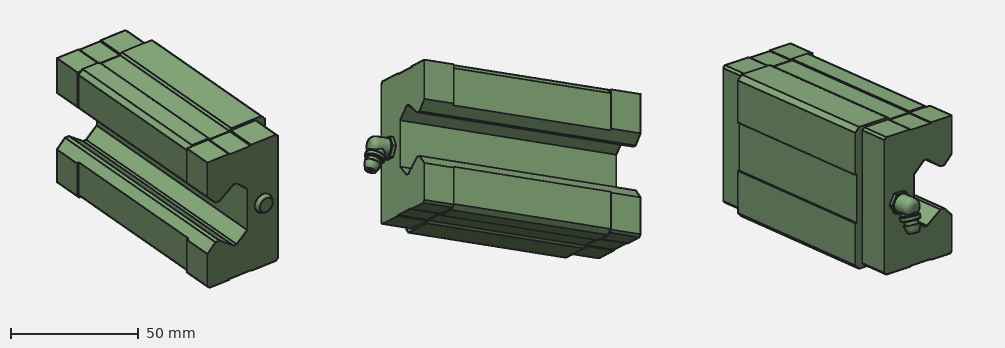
import cadquery as cq
import math


body_length = 70.2
cap_length = 13.2
body_end_x = body_length / 2
cap_face_x = body_end_x + cap_length

body_front = 0.5
body_back = 38.5
body_height = 60.0
body_half_height = body_height / 2
body_chamfer = 2.0
back_recess_depth = 0.7
back_recess_half_height = 10.2
front_land_half_height = 29.6
side_floor_half_height = 29.1
shoulder_y = 21.8
land_y = 10.7

cap_back = 34.8
cap_half_height = 29.1
cap_chamfer = 1.0
cap_groove_depth = 0.3

channel_floor_y = 19.5
channel_floor_half = 9.4
flank_outer_half = 14.0
flank_back_y = 14.4
flank_front_y = 12.8
lip_half = 9.1
lip_back_y = 5.9
lip_front_y = 4.0
mouth_half = lip_half + lip_front_y

fitting_y = 27.4

hex_across_flats = 8.2
hex_thickness = 1.5
hex_collar_length = 0.3
elbow_diameter = 7.9
elbow_reach = 9.5
elbow_round = 2.5
spout_pivot = 5.3
spout_tilt = 20.0
spout_root_radius = 3.5
collar_radius = 8.0 / 2
collar_start = 3.6
collar_end = 5.8
collar_bevel = 0.4
neck_radius = 5.5 / 2
head_start = 7.5
head_radius = 6.7 / 2
head_shoulder = 9.4
head_shoulder_radius = 2.9
tip_radius = 2.2
spout_length = 10.9
tip_hole_diameter = 1.5
tip_hole_depth = 0.4

plug_diameter = 8.2
plug_tip_diameter = 6.3
plug_projection = 2.0


def mirrored(points):
    """Close a half section by repeating it on the other side of Z = 0."""
    return points + [(y, -z) for y, z in reversed(points)]


def extrude_section(points, start_x, length):
    """Extrude a closed (Y, Z) outline along +X."""
    plane = cq.Workplane("YZ", origin=(start_x, 0, 0))
    return plane.polyline(points).close().extrude(length)


def make_body():
    """Main block with bevelled back edges, side shoulders and a shallow back recess."""
    shoulder_drop = body_half_height - side_floor_half_height
    recess_y = body_back - back_recess_depth
    half_section = [
        (recess_y, back_recess_half_height),
        (body_back, back_recess_half_height),
        (body_back, body_half_height - body_chamfer),
        (body_back - body_chamfer, body_half_height),
        (shoulder_y, body_half_height),
        (shoulder_y - shoulder_drop, side_floor_half_height),
        (land_y, side_floor_half_height),
        (land_y, front_land_half_height),
        (body_front + body_chamfer, front_land_half_height),
        (body_front, front_land_half_height - body_chamfer),
    ]
    return extrude_section(mirrored(half_section), -body_end_x, body_length)


def make_cap(start_x):
    """End cap: bevelled on every long edge but the upper front one."""
    cap = cq.Workplane("XY").box(
        cap_length, cap_back, 2 * cap_half_height, centered=(False, False, True)
    )
    cap = cap.edges("|X and >Y").chamfer(cap_chamfer)
    cap = cap.edges("|X and <Y and <Z").chamfer(cap_chamfer)
    groove_floor = cap_half_height - cap_groove_depth
    groove_back = shoulder_y - cap_groove_depth
    for side in (1, -1):
        groove = [
            (land_y, side * cap_half_height),
            (land_y, side * groove_floor),
            (groove_back - cap_groove_depth, side * groove_floor),
            (groove_back, side * cap_half_height),
        ]
        cap = cap.cut(extrude_section(groove, 0, cap_length))
    return cap.translate((start_x, 0, 0))


def make_channel():
    """Rail opening cut through the body and both caps."""
    half_section = [
        (0, mouth_half),
        (lip_front_y, lip_half),
        (lip_back_y, lip_half),
        (flank_front_y, flank_outer_half),
        (flank_back_y, flank_outer_half),
        (channel_floor_y, channel_floor_half),
    ]
    return extrude_section(mirrored(half_section), -cap_face_x, 2 * cap_face_x)


def make_spout():
    """Revolved nipple, built along +Z from the elbow axis, then aimed down and outward."""
    profile = [
        (0, 0),
        (spout_root_radius, 0),
        (spout_root_radius, collar_start),
        (collar_radius, collar_start + collar_bevel),
        (collar_radius, collar_end - collar_bevel),
        (collar_radius - collar_bevel, collar_end),
        (neck_radius, collar_end),
        (neck_radius, head_start),
        (head_radius, head_start),
        (head_shoulder_radius, head_shoulder),
        (tip_radius, spout_length),
        (tip_hole_diameter / 2, spout_length),
        (tip_hole_diameter / 2, spout_length - tip_hole_depth),
        (0, spout_length - tip_hole_depth),
    ]
    spout = cq.Workplane("XZ").polyline(profile).close().revolve(360, (0, 0), (0, 1))
    spout = spout.rotate((0, 0, 0), (0, 1, 0), 180 + spout_tilt)
    return spout.translate((-cap_face_x - spout_pivot, fitting_y, 0))


def make_grease_nipple():
    """Hexagon with a round collar, a rounded elbow and the tilted spout."""
    face = cq.Workplane("YZ", origin=(-cap_face_x, fitting_y, 0))
    hex_across_corners = hex_across_flats / math.cos(math.pi / 6)
    hexagon = face.polygon(6, hex_across_corners).extrude(-hex_thickness)
    hex_collar = face.circle(hex_across_flats / 2).extrude(-hex_thickness - hex_collar_length)
    elbow = face.circle(elbow_diameter / 2).extrude(-elbow_reach)
    elbow = elbow.faces("<X").edges().fillet(elbow_round)
    return hexagon.union(hex_collar).union(elbow).union(make_spout())


def make_plug():
    """Button whose rounded side leaves the cap face squarely and curves in to a flat tip."""
    base_radius = plug_diameter / 2
    end_radius = plug_tip_diameter / 2
    taper = base_radius - end_radius
    arc_radius = (plug_projection**2 + taper**2) / (2 * taper)
    half_angle = math.asin(plug_projection / arc_radius) / 2
    arc_middle = (
        base_radius - arc_radius * (1 - math.cos(half_angle)),
        arc_radius * math.sin(half_angle),
    )
    profile = (
        cq.Workplane("XZ")
        .lineTo(base_radius, 0)
        .threePointArc(arc_middle, (end_radius, plug_projection))
        .lineTo(0, plug_projection)
        .close()
    )
    plug = profile.revolve(360, (0, 0), (0, 1))
    plug = plug.rotate((0, 0, 0), (0, 1, 0), 90)
    return plug.translate((cap_face_x, fitting_y, 0))


result = (
    make_body()
    .union(make_cap(-cap_face_x))
    .union(make_cap(body_end_x))
    .cut(make_channel())
    .union(make_grease_nipple())
    .union(make_plug())
)